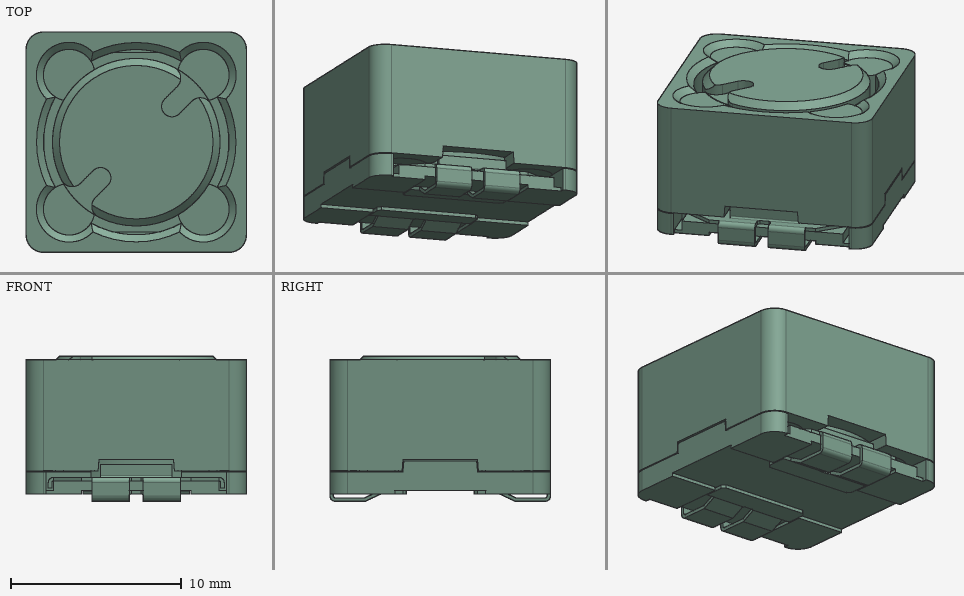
import cadquery as cq
import math


side = 12.9
half_side = side / 2
corner_radius = 1.03
fit_gap = 0.05
overshoot = 0.13

base_bottom = 0.43
base_foot_height = 0.2
base_underside = base_bottom + base_foot_height
housing_bottom = 1.78
base_top = housing_bottom - fit_gap
slot_floor = 7.9
plug_top = 7.95
core_chamfer_bottom = 8.09
housing_top = 8.3
core_top = 8.5

bore_radius = 5.42
plug_radius = 1.51
plug_offset = 3.92
rim_chamfer = 0.41
notch_top = 2.45
notch_top_width = 4.36
notch_bottom_width = 4.46

core_radius = 4.9
core_chamfer = 0.41
wire_slot_width = 1.21
wire_slot_end = 2.95
wire_slot_flare = 0.7
wire_slot_angle = 45.0
post_gap = 10.55
shelf_top = 1.2
wall_plane = 4.13
side_tab_thickness = 1.03
foot_gap_x = 6.4
foot_gap_y = 5.31

sheet = 0.2
inner_bend = 0.1
outer_bend = sheet + inner_bend
sheet_top = shelf_top + sheet
shelf_front = half_side - outer_bend
sheet_width = 6.4
wing_outer = 5.15
wing_end_front = 4.79
wing_bottom = 0.79
wing_pocket_inner = wing_outer - outer_bend
tab_width = 4.18
tab_back = 5.25
tab_top = 2.14
finger_width = 5.19
finger_gap = 0.8
upper_root = 5.57
lower_root = 3.42
root_chamfer = 0.13
ramp_start = 4.39
ramp_angle = 25.0
foot_plate_width = 6.25
foot_plate_end = 1.99
foot_plate_chamfer = 0.2

slope = math.radians(ramp_angle)
foot_plate_bottom = base_underside - sheet
ramp_end = ramp_start - foot_plate_bottom / math.tan(slope)
miter = sheet * math.tan(slope / 2)
ramp_end_lower = (-ramp_end, foot_plate_bottom)
ramp_end_upper = (-ramp_end - sheet * math.sin(slope), foot_plate_bottom + sheet * math.cos(slope))


def box(x0, x1, y0, y1, z0, z1):
    return cq.Workplane("XY").box(x1 - x0, y1 - y0, z1 - z0, centered=False).translate((x0, y0, z0))


def centred_box(width_x, width_y, z0, z1):
    return cq.Workplane("XY", origin=(0, 0, z0)).rect(width_x, width_y).extrude(z1 - z0)


def rounded_block(z0, z1):
    return centred_box(side, side, z0, z1).edges("|Z").fillet(corner_radius)


def cylinder(radius, z0, z1, x=0.0, y=0.0):
    return cq.Workplane("XY", origin=(x, y, z0)).circle(radius).extrude(z1 - z0)


def cone(bottom_radius, top_radius, z0, z1, x=0.0, y=0.0):
    return cq.Workplane(obj=cq.Solid.makeCone(bottom_radius, top_radius, z1 - z0, pnt=cq.Vector(x, y, z0)))


def turned(shape, angle):
    return shape.rotate((0, 0, 0), (0, 0, 1), angle)


def tapered_bar(bottom_width, top_width, z0, z1):
    """Bar along X over the full side length, narrower at the top."""
    outline = [
        (-bottom_width / 2, z0),
        (bottom_width / 2, z0),
        (top_width / 2, z1),
        (-top_width / 2, z1),
    ]
    return cq.Workplane("YZ").polyline(outline).close().extrude(half_side, both=True)


def chamfered_hole(radius, x=0.0, y=0.0):
    hole = cylinder(radius, housing_bottom, housing_top, x, y)
    return hole.union(cone(radius, radius + rim_chamfer, plug_top, housing_top, x, y))


def make_housing(plug_centres):
    body = rounded_block(housing_bottom, housing_top).cut(chamfered_hole(bore_radius))
    for x, y in plug_centres:
        body = body.cut(chamfered_hole(plug_radius, x, y))
    notches = tapered_bar(notch_bottom_width, notch_top_width, housing_bottom, notch_top)
    return body.cut(notches).cut(turned(notches, 90))


def make_plug(x, y):
    """Plug that fills one corner hole and rests against the core."""
    core_wall = cylinder(core_radius, housing_bottom, plug_top)
    return cylinder(plug_radius, housing_bottom, plug_top, x, y).cut(core_wall)


def round_core():
    half_slot = wire_slot_width / 2
    slot = box(wire_slot_end, core_radius + overshoot, -half_slot, half_slot, slot_floor, core_top)
    slot = slot.union(cylinder(half_slot, slot_floor, core_top, wire_slot_end))
    body = cylinder(core_radius, sheet_top, core_top).cut(slot).cut(turned(slot, 180))

    mouth_x = math.sqrt(core_radius**2 - half_slot**2)
    mouth_z = (slot_floor + core_top) / 2
    for x in (-mouth_x, mouth_x):
        for y in (-half_slot, half_slot):
            mouth_edge = cq.selectors.NearestToPointSelector((x, y, mouth_z))
            body = body.edges(mouth_edge).fillet(wire_slot_flare)

    envelope = cylinder(core_radius, sheet_top, core_chamfer_bottom).union(
        cone(core_radius, core_radius - core_chamfer, core_chamfer_bottom, core_top)
    )
    return turned(body, wire_slot_angle).intersect(envelope)


def terminal_recess():
    """Space on the -Y side of the base for a terminal and its turned-down wing ends."""
    half_gap = post_gap / 2
    above_shelf = box(-half_gap, half_gap, -half_side, -wall_plane, shelf_top, base_top)
    ahead_of_shelf = box(-half_gap, half_gap, -half_side, -shelf_front, base_bottom, base_top)
    wing_pockets = box(-half_gap, half_gap, -half_side, -wall_plane, base_underside, shelf_top).cut(
        box(-wing_pocket_inner, wing_pocket_inner, -half_side, -wall_plane, base_underside, shelf_top)
    )
    return above_shelf.union(ahead_of_shelf).union(wing_pockets)


def square_base():
    body = rounded_block(base_bottom, base_top)
    recess = terminal_recess()
    body = body.cut(recess).cut(turned(recess, 180))
    body = body.cut(centred_box(foot_gap_x, side, base_bottom, base_underside))
    return body.cut(centred_box(side, foot_gap_y, base_bottom, base_underside))


def side_tabs():
    """Tabs that stand in the housing notches on the -X and +X sides."""
    tabs = tapered_bar(
        notch_bottom_width - 2 * fit_gap,
        notch_top_width - 2 * fit_gap,
        base_top,
        notch_top - 2 * fit_gap,
    )
    inner_width = side - 2 * side_tab_thickness
    return tabs.cut(centred_box(inner_width, side, base_top, notch_top))


def make_core():
    return square_base().union(side_tabs()).union(round_core())


def folded_strip():
    """Strip that runs off the shelf, down the front, back under and up the ramp."""
    bend_y = -shelf_front
    upper_z = sheet_top - outer_bend
    lower_z = outer_bend
    inner_face = -half_side + sheet

    def bend_middle(radius, centre_z, direction):
        reach = radius * math.sqrt(0.5)
        return (bend_y - reach, centre_z + direction * reach)

    return (
        cq.Workplane("YZ")
        .moveTo(-wall_plane, sheet_top)
        .lineTo(bend_y, sheet_top)
        .threePointArc(bend_middle(outer_bend, upper_z, 1), (-half_side, upper_z))
        .lineTo(-half_side, lower_z)
        .threePointArc(bend_middle(outer_bend, lower_z, -1), (bend_y, 0))
        .lineTo(-ramp_start, 0)
        .lineTo(*ramp_end_lower)
        .lineTo(*ramp_end_upper)
        .lineTo(-ramp_start - miter, sheet)
        .lineTo(bend_y, sheet)
        .threePointArc(bend_middle(inner_bend, lower_z, -1), (inner_face, lower_z))
        .lineTo(inner_face, upper_z)
        .threePointArc(bend_middle(inner_bend, upper_z, 1), (bend_y, shelf_top))
        .lineTo(-wall_plane, shelf_top)
        .close()
        .extrude(finger_width / 2, both=True)
    )


def foot_plate():
    """Wide flat plate under the base, starting with a cut square to the ramp."""
    return (
        cq.Workplane("YZ")
        .moveTo(*ramp_end_lower)
        .lineTo(-foot_plate_end, foot_plate_bottom)
        .lineTo(-foot_plate_end, base_underside)
        .lineTo(-ramp_end - miter, base_underside)
        .lineTo(*ramp_end_upper)
        .close()
        .extrude(foot_plate_width / 2, both=True)
        .edges("|Z and >Y")
        .chamfer(foot_plate_chamfer)
    )


def wing_arch(half_width, top, bend_radius):
    """Block with rounded upper side edges, as deep as the shelf."""
    block = box(-half_width, half_width, -shelf_front, -wall_plane, wing_bottom, top)
    return block.edges("|Y and >Z").fillet(bend_radius)


def winged_sheet():
    """Sheet on the shelf, tapered to two ends that are turned down."""
    arch = wing_arch(wing_outer, sheet_top, outer_bend).cut(wing_arch(wing_outer - sheet, shelf_top, inner_bend))
    plan = [
        (-sheet_width / 2, -shelf_front),
        (sheet_width / 2, -shelf_front),
        (wing_pocket_inner, -wing_end_front),
        (wing_outer, -wing_end_front),
        (wing_outer, -wall_plane),
        (-wing_outer, -wall_plane),
        (-wing_outer, -wing_end_front),
        (-wing_pocket_inner, -wing_end_front),
    ]
    return arch.intersect(cq.Workplane("XY").polyline(plan).close().extrude(sheet_top))


def upright_tab():
    """Tab that stands on the sheet, with a rounded inner corner in front."""
    tab_front = tab_back + sheet
    return (
        cq.Workplane("YZ")
        .moveTo(-tab_back, shelf_top)
        .lineTo(-tab_back, tab_top)
        .lineTo(-tab_front, tab_top)
        .lineTo(-tab_front, sheet_top + inner_bend)
        .radiusArc((-tab_front - inner_bend, sheet_top), inner_bend)
        .lineTo(-tab_front - inner_bend, shelf_top)
        .close()
        .extrude(tab_width / 2, both=True)
    )


def finger_gap_cutter(root, top):
    cutter = box(-finger_gap / 2, finger_gap / 2, -half_side, -root, -overshoot, top)
    return cutter.edges("|Z and >Y").chamfer(root_chamfer)


def make_terminal():
    body = folded_strip().union(foot_plate()).union(winged_sheet()).union(upright_tab())
    body = body.cut(finger_gap_cutter(upper_root, sheet_top + overshoot))
    return body.cut(finger_gap_cutter(lower_root, base_underside + overshoot))


plug_centres = [(x, y) for x in (-plug_offset, plug_offset) for y in (-plug_offset, plug_offset)]

housing = make_housing(plug_centres)
core = make_core()
plugs = [make_plug(x, y) for x, y in plug_centres]
terminals = [turned(make_terminal(), angle) for angle in (0, 180)]

result = cq.Compound.makeCompound(
    [
        housing.val(),
        core.val(),
        *[plug.val() for plug in plugs],
        *[terminal.val() for terminal in terminals],
    ]
)